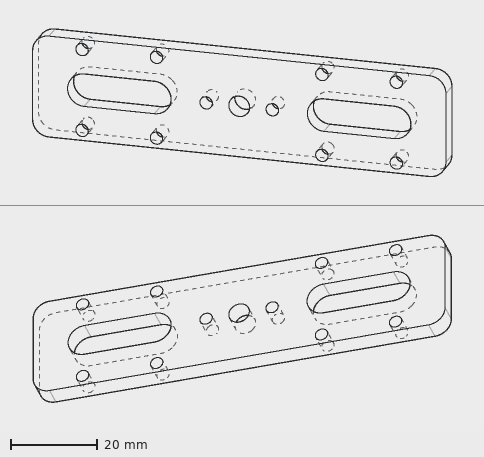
import cadquery as cq

length = 100.0
thickness = 5.0
height = 25.0
corner_radius = 4.0

slot_length = 25.0
slot_width = 8.0
slot_offset = 29.0

center_hole_diameter = 5.0
small_hole_diameter = 3.0
small_hole_offset = 8.0

edge_hole_diameter = 3.0
inner_hole_offset = 20.0
outer_hole_offset = 38.0
edge_hole_inset = 2.5
edge_hole_z = height / 2 - edge_hole_inset

edge_hole_points = [
    (side * offset, row * edge_hole_z)
    for side in (-1, 1)
    for offset in (inner_hole_offset, outer_hole_offset)
    for row in (-1, 1)
]


def through_holes(points, diameter):
    """Cylinders through the full thickness at the given (x, z) points."""
    return (
        cq.Workplane("XZ")
        .pushPoints(points)
        .circle(diameter / 2)
        .extrude(thickness / 2, both=True)
    )


plate = (
    cq.Workplane("XY")
    .box(length, thickness, height)
    .edges("|Y")
    .fillet(corner_radius)
)

slots = (
    cq.Workplane("XZ")
    .pushPoints([(-slot_offset, 0), (slot_offset, 0)])
    .slot2D(slot_length, slot_width)
    .extrude(thickness / 2, both=True)
)

center_hole = through_holes([(0, 0)], center_hole_diameter)
small_holes = through_holes([(-small_hole_offset, 0), (small_hole_offset, 0)], small_hole_diameter)
edge_holes = through_holes(edge_hole_points, edge_hole_diameter)

result = plate.cut(slots).cut(center_hole).cut(small_holes).cut(edge_holes)